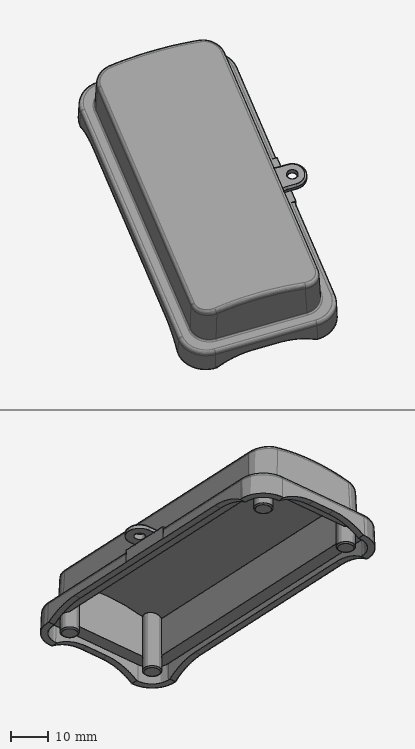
import cadquery as cq
import math

flange_length = 95.2
flange_width = 44.65
flange_height = 7.1
flange_corner_radius = 7.8
flange_draft = 1.5
flange_edge_radius = 1.1

dome_inset = 4.0
dome_length = flange_length - 2 * dome_inset
dome_width = flange_width - 2 * dome_inset
dome_corner_radius = 5.4
dome_draft = 2.0
dome_edge_radius = 1.2
dome_foot_radius = 0.5
crown_height = 20.8
crown_radius = 61.9

wall = 2.0

pick_slack = 0.01

arch_height = 3.3
arch_run = 10.5
arch_end_inset = 8.3

post_radius = 2.6
post_chamfer = 0.4

tab_reach = 5.5
tab_width = 7.8
tab_thickness = 1.6
tab_edge_chamfer = 0.6
tab_hole_diameter = 3.0
tab_flare_radius = 2.9
tab_root_radius = 0.5
tab_pad_width = 15.2
tab_pad_depth = 1.9


def rounded_block(length, width, height, corner_radius, base_z, draft):
    """Block with rounded corners whose walls lean inward by the draft angle."""
    block = cq.Workplane("XY").workplane(offset=base_z).rect(length, width).extrude(height, taper=draft)
    return block.edges("not(|X or |Y)").fillet(corner_radius)


def under_crown(crown_z, radius):
    """Cylinder along X that bounds a roof whose highest line is at crown_z."""
    return (
        cq.Workplane("YZ")
        .center(0, crown_z - radius)
        .circle(radius)
        .extrude(flange_length / 2, both=True)
    )


def make_flange():
    flange = rounded_block(
        flange_length, flange_width, flange_height, flange_corner_radius, 0, flange_draft
    )
    return flange.faces(">Z").edges().fillet(flange_edge_radius)


def make_dome():
    dome = rounded_block(
        dome_length, dome_width, crown_height, dome_corner_radius, flange_height, dome_draft
    )
    dome = dome.intersect(under_crown(crown_height, crown_radius))
    return dome.faces(">Z").edges().fillet(dome_edge_radius)


def make_outer_shape():
    """Flange and dome joined, with a small fillet all around the foot of the dome."""
    body = make_flange().union(make_dome())
    reach_x = dome_length / 2 + dome_foot_radius
    reach_y = dome_width / 2 + dome_foot_radius
    dome_foot = cq.selectors.BoxSelector(
        (-reach_x, -reach_y, flange_height - pick_slack),
        (reach_x, reach_y, flange_height + pick_slack),
    )
    return body.edges(dome_foot).fillet(dome_foot_radius)


def make_cavity():
    """Hollow that follows the flange and the dome one wall thickness inside."""
    flange_cavity = rounded_block(
        flange_length - 2 * wall,
        flange_width - 2 * wall,
        flange_height - wall,
        flange_corner_radius - wall,
        0,
        flange_draft,
    )
    dome_cavity = rounded_block(
        dome_length - 2 * wall,
        dome_width - 2 * wall,
        crown_height,
        dome_corner_radius - wall,
        flange_height - wall,
        dome_draft,
    )
    dome_cavity = dome_cavity.intersect(under_crown(crown_height - wall, crown_radius - wall))
    return flange_cavity.union(dome_cavity)


def arch_profile(plane, wall_length):
    """Arched opening: a flat top that runs down to the base in an arc at each end."""
    arc_radius = (arch_run**2 + arch_height**2) / (2 * arch_height)
    half_sweep = math.asin(arch_run / arc_radius) / 2
    mid_run = arc_radius * math.sin(half_sweep)
    mid_height = arch_height - arc_radius * (1 - math.cos(half_sweep))
    foot = wall_length / 2 - arch_end_inset
    flat = foot - arch_run
    return (
        cq.Workplane(plane)
        .moveTo(-foot, 0)
        .threePointArc((-flat - mid_run, mid_height), (-flat, arch_height))
        .lineTo(flat, arch_height)
        .threePointArc((flat + mid_run, mid_height), (foot, 0))
        .close()
    )


def make_arches():
    lengthwise = arch_profile("XZ", flange_length).extrude(flange_width, both=True)
    crosswise = arch_profile("YZ", flange_width).extrude(flange_length, both=True)
    return lengthwise.union(crosswise)


def make_posts():
    """Posts that rise from the base into the corners of the dome."""
    spacing_x = flange_length - 2 * flange_corner_radius
    spacing_y = flange_width - 2 * flange_corner_radius
    return (
        cq.Workplane("XY")
        .rect(spacing_x, spacing_y, forConstruction=True)
        .vertices()
        .circle(post_radius)
        .extrude(crown_height - dome_edge_radius)
        .faces("<Z")
        .edges()
        .chamfer(post_chamfer)
        .intersect(make_cavity())
    )


def make_tab():
    """Tongue behind the dome with a round end, a hole and flared roots."""
    half_width = tab_width / 2
    root_half_width = half_width + tab_flare_radius
    dome_back = dome_width / 2
    hole_y = flange_width / 2 + tab_reach - half_width
    flare_end_y = dome_back + tab_flare_radius
    flare_mid_offset = tab_flare_radius * (1 - math.sqrt(0.5))
    flare_mid_x = half_width + flare_mid_offset
    flare_mid_y = dome_back + flare_mid_offset
    tab = (
        cq.Workplane("XY")
        .workplane(offset=flange_height)
        .moveTo(-root_half_width, dome_back)
        .threePointArc((-flare_mid_x, flare_mid_y), (-half_width, flare_end_y))
        .lineTo(-half_width, hole_y)
        .threePointArc((0, hole_y + half_width), (half_width, hole_y))
        .lineTo(half_width, flare_end_y)
        .threePointArc((flare_mid_x, flare_mid_y), (root_half_width, dome_back))
        .lineTo(root_half_width, dome_back - wall)
        .lineTo(-root_half_width, dome_back - wall)
        .close()
        .extrude(tab_thickness)
    )
    free_edges = cq.selectors.BoxSelector(
        (-tab_width, dome_back + pick_slack, flange_height),
        (tab_width, flange_width, crown_height),
    )
    tab = tab.faces(">Z").edges(free_edges).chamfer(tab_edge_chamfer)
    hole = cq.Workplane("XY").center(0, hole_y).circle(tab_hole_diameter / 2).extrude(crown_height)
    return tab.cut(hole)


def make_tab_pad():
    """Square-edged stretch of the flange under the tab."""
    pad_height = flange_height - arch_height
    return (
        cq.Workplane("XY")
        .box(tab_pad_width, tab_pad_depth, pad_height, centered=(True, False, False))
        .translate((0, flange_width / 2 - tab_pad_depth, arch_height))
    )


def round_tab_root(body):
    """Small fillet where the top of the tab runs into the back of the dome."""
    root_z = flange_height + tab_thickness
    root = cq.selectors.BoxSelector(
        (-tab_width, dome_width / 2 - wall / 2, root_z - pick_slack),
        (tab_width, dome_width / 2, root_z + pick_slack),
    )
    return body.edges(root).edges("|X").fillet(tab_root_radius)


cover = (
    make_outer_shape()
    .cut(make_cavity())
    .cut(make_arches())
    .union(make_posts())
    .union(make_tab_pad())
    .union(make_tab())
)
result = round_tab_root(cover)